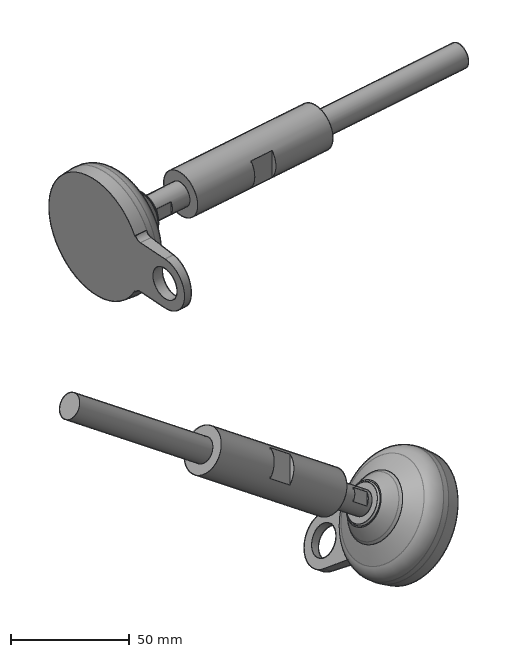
import cadquery as cq
import math

TOTAL_LENGTH = 203.0

FOOT_RADIUS = 30.0
SOLE_RADIUS = 29.5
RIM_BOTTOM = 6.3
RIM_TOP_RADIUS = 29.8
RIM_TOP = 9.1
SHOULDER_RADIUS = 24.5
SHOULDER_HEIGHT = 15.5
SHOULDER_BULGE_RADIUS = 28.6
SHOULDER_BULGE_HEIGHT = 12.2
NECK_RADIUS = 16.2
NECK_HEIGHT = 19.9
FLANK_RADIUS = 20.3
FLANK_HEIGHT = 17.9
DOME_STEP_RADIUS = 15.2
DOME_STEP_HEIGHT = 21.1
DOME_RADIUS = 12.8
DOME_HEIGHT = 24.0
DOME_TOP_RADIUS = 9.7
COLLAR_BOTTOM = 26.8
COLLAR_BOTTOM_RADIUS = 10.4
COLLAR_TOP_RADIUS = 9.1
COLLAR_TOP = 27.8

LUG_END_RADIUS = 12.5
LUG_REACH = 57.9
LUG_HOLE_X = LUG_REACH - LUG_END_RADIUS
LUG_HOLE_DIAMETER = 15.5
LUG_FILLET = 3.7
LUG_ROOT_HEIGHT = 5.9
LUG_TIP_HEIGHT = 3.9

ROD_RADIUS = 12.0 / 2
ROD_BOTTOM = COLLAR_TOP
ROD_FLAT_OFFSET = 5.0
ROD_FLAT_BOTTOM = 30.0
ROD_FLAT_LENGTH = 8.1

SLEEVE_RADIUS = 22.0 / 2
SLEEVE_BOTTOM = 48.0
SLEEVE_LENGTH = 75.3
SLEEVE_FLAT_OFFSET = 8.5
SLEEVE_FLAT_LENGTH = 11.8
SLEEVE_FLAT_BOTTOM = SLEEVE_BOTTOM + (SLEEVE_LENGTH - SLEEVE_FLAT_LENGTH) / 2


def cylinder(radius, bottom, length):
    """Solid cylinder on the Y axis, starting at Y = bottom."""
    return cq.Workplane("XZ", origin=(0, bottom, 0)).circle(radius).extrude(-length)


def cut_wrench_flats(body, radius, offset, bottom, length):
    """Cut a pair of flats at X = +offset and X = -offset."""
    depth = radius - offset
    for side in (-1, 1):
        cutter = cq.Workplane("XY").box(2 * depth, length, 2 * radius)
        body = body.cut(cutter.translate((side * (offset + depth), bottom + length / 2, 0)))
    return body


def make_foot_body():
    """Revolved bell: drafted rim, S-shaped flank, dome and tapered collar."""
    return (
        cq.Workplane("XY")
        .lineTo(SOLE_RADIUS, 0)
        .lineTo(FOOT_RADIUS, RIM_BOTTOM)
        .lineTo(RIM_TOP_RADIUS, RIM_TOP)
        .threePointArc((SHOULDER_BULGE_RADIUS, SHOULDER_BULGE_HEIGHT), (SHOULDER_RADIUS, SHOULDER_HEIGHT))
        .threePointArc((FLANK_RADIUS, FLANK_HEIGHT), (NECK_RADIUS, NECK_HEIGHT))
        .lineTo(DOME_STEP_RADIUS, DOME_STEP_HEIGHT)
        .threePointArc((DOME_RADIUS, DOME_HEIGHT), (DOME_TOP_RADIUS, COLLAR_BOTTOM))
        .lineTo(COLLAR_BOTTOM_RADIUS, COLLAR_BOTTOM)
        .lineTo(COLLAR_TOP_RADIUS, COLLAR_TOP)
        .lineTo(0, COLLAR_TOP)
        .close()
        .revolve(360, (0, 0, 0), (0, 1, 0))
    )


def make_lug():
    """Rounded lug with a sloping top, blended into the rim by concave fillets."""
    fillet_z = LUG_END_RADIUS + LUG_FILLET
    fillet_x = math.sqrt((FOOT_RADIUS + LUG_FILLET) ** 2 - fillet_z ** 2)
    rim_angle = math.atan2(fillet_z, fillet_x)
    rim_x = FOOT_RADIUS * math.cos(rim_angle)
    rim_z = FOOT_RADIUS * math.sin(rim_angle)
    middle_angle = (rim_angle + math.pi / 2) / 2
    middle_x = fillet_x - LUG_FILLET * math.cos(middle_angle)
    middle_z = fillet_z - LUG_FILLET * math.sin(middle_angle)

    plate = (
        cq.Workplane("XZ")
        .lineTo(rim_x, rim_z)
        .threePointArc((middle_x, middle_z), (fillet_x, LUG_END_RADIUS))
        .lineTo(LUG_HOLE_X, LUG_END_RADIUS)
        .threePointArc((LUG_REACH, 0), (LUG_HOLE_X, -LUG_END_RADIUS))
        .lineTo(fillet_x, -LUG_END_RADIUS)
        .threePointArc((middle_x, -middle_z), (rim_x, -rim_z))
        .close()
        .extrude(-RIM_BOTTOM)
    )
    slope = (LUG_ROOT_HEIGHT - LUG_TIP_HEIGHT) / (LUG_REACH - FOOT_RADIUS)
    wedge = (
        cq.Workplane("XY")
        .lineTo(LUG_REACH, 0)
        .lineTo(LUG_REACH, LUG_TIP_HEIGHT)
        .lineTo(0, LUG_TIP_HEIGHT + slope * LUG_REACH)
        .close()
        .extrude(FOOT_RADIUS, both=True)
    )
    hole = cq.Workplane("XZ").center(LUG_HOLE_X, 0).circle(LUG_HOLE_DIAMETER / 2).extrude(-RIM_BOTTOM)
    return plate.intersect(wedge).cut(hole)


def make_foot():
    return make_foot_body().union(make_lug())


def make_rod():
    """Rod standing on the foot, with wrench flats near its lower end."""
    rod = cylinder(ROD_RADIUS, ROD_BOTTOM, TOTAL_LENGTH - ROD_BOTTOM)
    return cut_wrench_flats(rod, ROD_RADIUS, ROD_FLAT_OFFSET, ROD_FLAT_BOTTOM, ROD_FLAT_LENGTH)


def make_sleeve():
    """Round nut with a through bore for the rod and flats at mid-length."""
    sleeve = cylinder(SLEEVE_RADIUS, SLEEVE_BOTTOM, SLEEVE_LENGTH)
    sleeve = sleeve.cut(cylinder(ROD_RADIUS, SLEEVE_BOTTOM, SLEEVE_LENGTH))
    return cut_wrench_flats(
        sleeve, SLEEVE_RADIUS, SLEEVE_FLAT_OFFSET, SLEEVE_FLAT_BOTTOM, SLEEVE_FLAT_LENGTH
    )


foot = make_foot()
rod = make_rod()
sleeve = make_sleeve()
result = cq.Compound.makeCompound([foot.val(), rod.val(), sleeve.val()])